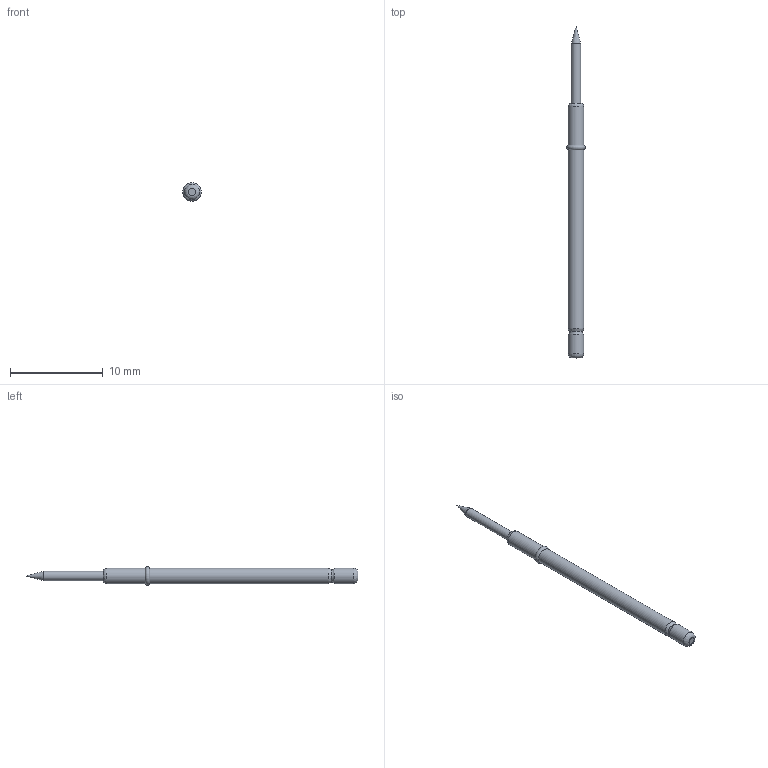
import cadquery as cq
import math


total_length = 35.7
barrel_radius = 1.67 / 2
plunger_radius = 1.0 / 2
collar_radius = 2.0 / 2

barrel_length = 27.38
tail_rounding = 0.45

collar_y = 22.65
collar_half_width = 0.24

groove_tail_edge_y = 2.54
groove_floor_y = 2.85
groove_depth = 0.17

shoulder_radius = 0.44
nose_depth = 0.15

point_angle = 30.0
point_length = plunger_radius / math.tan(math.radians(point_angle / 2))
point_base_y = total_length - point_length

groove_radius = barrel_radius - groove_depth
groove_width = groove_floor_y - groove_tail_edge_y
hollow_radius = (groove_width**2 + groove_depth**2) / (2 * groove_depth)
hollow_angle = math.asin(groove_width / hollow_radius)


def shoulder_angle(depth):
    """Angle swept by the shoulder arc while it drops by the given depth below the barrel surface."""
    return math.acos(1 - depth / shoulder_radius)


groove_shoulder_y = groove_floor_y + shoulder_radius * math.sin(shoulder_angle(groove_depth))
nose_shoulder_y = barrel_length - shoulder_radius * math.sin(shoulder_angle(nose_depth))


def arc_point(centre, radius, angle):
    """Point on an arc, with the angle in radians measured from the outward radial direction towards +Y."""
    return (centre[0] + radius * math.cos(angle), centre[1] + radius * math.sin(angle))


def barrel_and_plunger():
    """Solid of revolution about Y, from the rounded tail to the conical point."""
    tail_centre = (barrel_radius - tail_rounding, tail_rounding)
    groove_shoulder_centre = (barrel_radius - shoulder_radius, groove_shoulder_y)
    nose_centre = (barrel_radius - shoulder_radius, nose_shoulder_y)
    eighth_turn = math.pi / 4
    hollow_centre = (groove_radius + hollow_radius, groove_floor_y)

    profile = (
        cq.Workplane("XY")
        .moveTo(0, 0)
        .lineTo(barrel_radius - tail_rounding, 0)
        .threePointArc(arc_point(tail_centre, tail_rounding, -eighth_turn), (barrel_radius, tail_rounding))
        .lineTo(barrel_radius, groove_tail_edge_y)
        .threePointArc(
            arc_point(hollow_centre, hollow_radius, math.pi + hollow_angle / 2),
            (groove_radius, groove_floor_y),
        )
        .threePointArc(
            arc_point(groove_shoulder_centre, shoulder_radius, -shoulder_angle(groove_depth) / 2),
            (barrel_radius, groove_shoulder_y),
        )
        .lineTo(barrel_radius, nose_shoulder_y)
        .threePointArc(
            arc_point(nose_centre, shoulder_radius, shoulder_angle(nose_depth) / 2),
            (barrel_radius - nose_depth, barrel_length),
        )
        .lineTo(plunger_radius, barrel_length)
        .lineTo(plunger_radius, point_base_y)
        .lineTo(0, total_length)
        .close()
    )
    return profile.revolve(360, (0, 0, 0), (0, 1, 0))


def press_ring():
    """Rounded collar bulging out of the barrel."""
    profile = (
        cq.Workplane("XY")
        .moveTo(0, collar_y - collar_half_width)
        .lineTo(barrel_radius, collar_y - collar_half_width)
        .threePointArc((collar_radius, collar_y), (barrel_radius, collar_y + collar_half_width))
        .lineTo(0, collar_y + collar_half_width)
        .close()
    )
    return profile.revolve(360, (0, 0, 0), (0, 1, 0))


result = barrel_and_plunger().union(press_ring())